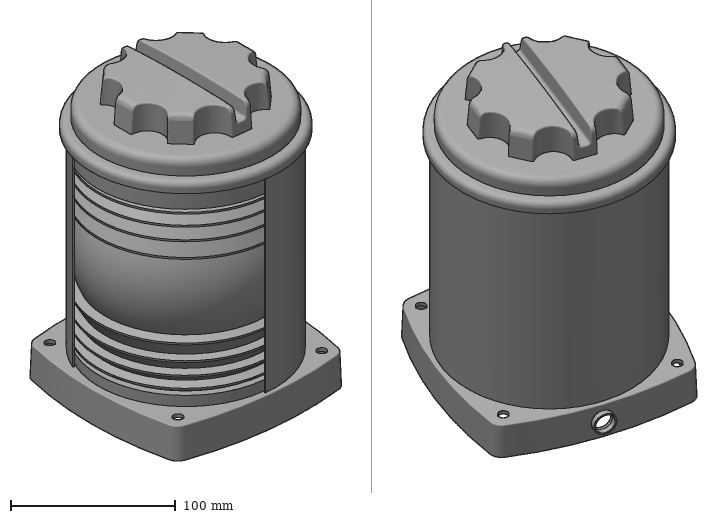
import cadquery as cq
import math

overall_length = 156.8
overall_depth = 153.7
flange_radius = overall_depth / 2

base_height = 24.2
flange_bottom = 179.0
flange_top = 186.5
lid_bottom = 187.3
lid_top = 199.0
knob_edge_height = 218.3
total_height = 219.8

base_half_width = 76.7
side_bow_radius = 274.8
base_corner_radius = 9.2
base_draft = 2.0
base_edge_fillet = 0.9
base_wall = 2.6
mount_hole_offset = 58.5
mount_hole_diameter = 7.0

gland_radius = 7.7
gland_bore_radius = 6.5
gland_height = 12.0
gland_outer_x = flange_radius - overall_length
gland_length = 4.0

shield_radius = 72.8
shield_inner_radius = 71.7
window_angle = 112.5

lens_crest_radius = 71.0
lens_bulge_radius = 71.5
lens_root_radius = 65.3
lens_bore_radius = 60.5
lens_center_height = 99.2
bulge_half_height = 27.3
crest_offsets = [29.7, 42.2, 52.5, 61.8]
root_offsets = [41.0, 51.0, 59.4]
crest_land = 1.3
upper_collar_bottom = 164.7
lower_collar_top = 32.0
lower_collar_radius = 70.5

flange_fillet = 4.2

neck_radius = 66.5
lid_radius = 70.0
lid_fillet = 5.5
lobe_count = 8
knob_half_width = 51.7
knob_draft = 5.0
knob_shoulder_fillet = 4.6
scallop_center_radius = 53.6
scallop_radius = 12.3
knob_edge_fillet = 1.0
slot_bottom = 206.9
slot_floor_width = 7.5
slot_floor_fillet = 2.6
slot_top_width = 10.0


def bowed_square(half_width):
    """Four-sided outline with each side bowed outward as one arc."""
    bow_center = half_width - side_bow_radius
    corner = (bow_center + math.sqrt(2 * side_bow_radius**2 - bow_center**2)) / 2
    return (
        cq.Workplane("XY")
        .moveTo(-corner, -corner)
        .threePointArc((0, -half_width), (corner, -corner))
        .threePointArc((half_width, 0), (corner, corner))
        .threePointArc((0, half_width), (-corner, corner))
        .threePointArc((-half_width, 0), (-corner, -corner))
        .close()
    )


def base_block(half_width, height, corner_radius):
    """Drafted block on the mounting face with rounded corners."""
    block = bowed_square(half_width).extrude(height, taper=base_draft)
    return block.edges("not (<Z or >Z)").fillet(corner_radius)


def gland_cylinder(radius, length):
    """Cylinder along X that starts at the outer end of the gland."""
    return (
        cq.Workplane("YZ", origin=(gland_outer_x, 0, gland_height))
        .circle(radius)
        .extrude(length)
    )


def make_base():
    outside = base_block(base_half_width, base_height, base_corner_radius)
    outside = outside.faces(">Z").edges().fillet(base_edge_fillet)
    cavity = base_block(
        base_half_width - base_wall, base_height - base_wall, base_corner_radius - base_wall
    )
    mount_holes = (
        cq.Workplane("XY")
        .rect(2 * mount_hole_offset, 2 * mount_hole_offset, forConstruction=True)
        .vertices()
        .circle(mount_hole_diameter / 2)
        .extrude(base_height)
    )
    gland_seat = gland_cylinder(gland_radius, gland_length)
    cable_hole = gland_cylinder(gland_bore_radius, gland_length + 2 * base_wall)
    return outside.cut(cavity).cut(mount_holes).cut(gland_seat).cut(cable_hole)


def make_gland():
    tube = gland_cylinder(gland_radius, gland_length)
    return tube.cut(gland_cylinder(gland_bore_radius, gland_length))


def make_shield():
    """Thin tube wall that leaves the window sector open."""
    outer = shield_radius
    inner = shield_inner_radius
    end_angle = math.radians(-window_angle)
    middle_angle = math.radians((360 - window_angle) / 2)

    def on_circle(radius, angle):
        return (radius * math.cos(angle), radius * math.sin(angle))

    return (
        cq.Workplane("XY", origin=(0, 0, base_height))
        .moveTo(inner, 0)
        .lineTo(outer, 0)
        .threePointArc(on_circle(outer, middle_angle), on_circle(outer, end_angle))
        .lineTo(*on_circle(inner, end_angle))
        .threePointArc(on_circle(inner, middle_angle), (inner, 0))
        .close()
        .extrude(flange_bottom - base_height)
    )


def rib_points():
    """Radius and distance from the lens center along the ribs on one side, going outward."""
    points = []
    inner_root = bulge_half_height
    for crest, outer_root in zip(crest_offsets, root_offsets):
        points.append((lens_root_radius, inner_root))
        points.append((lens_crest_radius, crest))
        points.append((lens_crest_radius, crest + crest_land))
        inner_root = outer_root
    points.append((lens_root_radius, inner_root))
    points.append((lens_crest_radius, crest_offsets[-1]))
    points.append((lens_crest_radius, crest_offsets[-1] + crest_land))
    return points


def make_lens():
    """Ribbed tube with a bulging middle band and a plain collar at each end."""
    ribs = rib_points()
    upper = [(r, lens_center_height + offset) for r, offset in ribs]
    lower = [(r, lens_center_height - offset) for r, offset in reversed(ribs)]
    return (
        cq.Workplane("XZ")
        .moveTo(lens_bore_radius, base_height)
        .lineTo(lower_collar_radius, base_height)
        .lineTo(lower_collar_radius, lower_collar_top)
        .lineTo(lens_root_radius, lower_collar_top)
        .polyline(lower, includeCurrent=True)
        .threePointArc((lens_bulge_radius, lens_center_height), upper[0])
        .polyline(upper[1:], includeCurrent=True)
        .lineTo(lens_root_radius, upper_collar_bottom)
        .lineTo(lens_bulge_radius, upper_collar_bottom)
        .lineTo(lens_bulge_radius, flange_bottom)
        .lineTo(lens_bore_radius, flange_bottom)
        .close()
        .revolve(360, (0, 0, 0), (0, 1, 0))
    )


def make_flange():
    disc = (
        cq.Workplane("XY", origin=(0, 0, flange_bottom))
        .circle(flange_radius)
        .extrude(flange_top - flange_bottom)
        .faces(">Z").edges().fillet(flange_fillet)
    )
    bore = (
        cq.Workplane("XY", origin=(0, 0, flange_bottom))
        .circle(lens_bore_radius)
        .extrude(flange_top - flange_bottom)
    )
    return disc.cut(bore)


def make_knob():
    """Crowned, drafted octagon with a scallop cut at each corner and a slot across."""
    corner_angle = 180 / lobe_count
    octagon = (
        cq.Workplane("XY", origin=(0, 0, lid_top))
        .transformed(rotate=(0, 0, corner_angle))
        .polygon(lobe_count, 2 * knob_half_width / math.cos(math.radians(corner_angle)))
        .extrude(total_height - lid_top, taper=knob_draft)
    )
    crown_rise = total_height - knob_edge_height
    crown_radius = (knob_half_width**2 + crown_rise**2) / (2 * crown_rise)
    crown = cq.Workplane("XY", origin=(0, 0, total_height - crown_radius)).sphere(crown_radius)
    knob = octagon.intersect(crown)
    knob = knob.faces(">Z").edges().fillet(knob_shoulder_fillet)

    scallops = (
        cq.Workplane("XY", origin=(0, 0, lid_top))
        .polarArray(scallop_center_radius, corner_angle, 360, lobe_count)
        .circle(scallop_radius)
        .extrude(total_height - lid_top)
    )
    knob = knob.cut(scallops)
    knob = knob.faces("%CYLINDER").edges("not <Z").fillet(knob_edge_fillet)
    slot = (
        cq.Workplane("YZ", origin=(-knob_half_width, 0, 0))
        .moveTo(-slot_top_width / 2, total_height)
        .lineTo(-slot_floor_width / 2, slot_bottom)
        .lineTo(slot_floor_width / 2, slot_bottom)
        .lineTo(slot_top_width / 2, total_height)
        .close()
        .extrude(2 * knob_half_width)
        .edges("|X and <Z").fillet(slot_floor_fillet)
    )
    knob = knob.cut(slot)
    around_slot = cq.selectors.BoxSelector(
        (-knob_half_width, -slot_top_width / 2, slot_bottom),
        (knob_half_width, slot_top_width / 2, total_height),
    )
    return knob.edges(around_slot).edges("not |X").fillet(knob_edge_fillet)


def make_cap():
    neck = (
        cq.Workplane("XY", origin=(0, 0, flange_top))
        .circle(neck_radius)
        .extrude(lid_bottom - flange_top)
    )
    lid = (
        cq.Workplane("XY", origin=(0, 0, lid_bottom))
        .circle(lid_radius)
        .extrude(lid_top - lid_bottom)
        .faces(">Z").edges().fillet(lid_fillet)
    )
    return neck.union(lid).union(make_knob())


base = make_base()
gland = make_gland()
shield = make_shield()
lens = make_lens()
flange = make_flange()
cap = make_cap()

result = cq.Compound.makeCompound([
    base.val(),
    gland.val(),
    shield.val(),
    lens.val(),
    flange.val(),
    cap.val(),
])